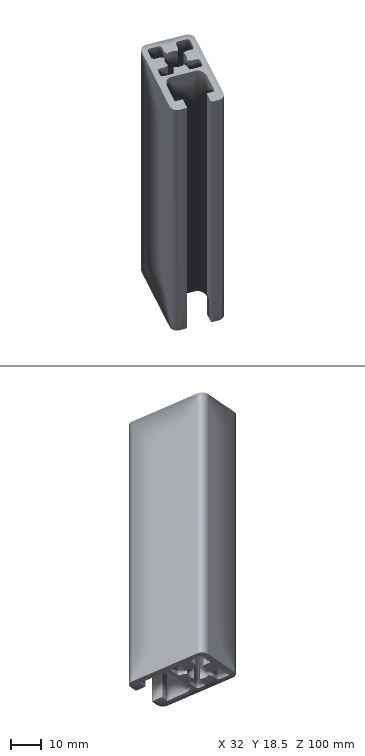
import cadquery as cq
import math

width = 32.0
depth = 18.5
length = 100.0
corner_radius = 2.5

bore_x = 9.5 - width / 2
bore_radius = 3.7
cavity_left = 7.4
cavity_right = 6.1
cavity_side = 7.3
cavity_fillet = 1.0

rib_half_width = 2.4
rib_tip_half_width = 1.8
rib_taper_start = 4.4
rib_tip = math.sqrt(bore_radius**2 - rib_tip_half_width**2)

slot_back_x = 16.8 - width / 2
lip_thickness = 4.2
slot_width = 13.8
mouth_width = 8.2
slot_corner_x = 3.6
slot_corner_y = 2.0
lip_fillet = 0.4


def make_body():
    return cq.Workplane("XY").box(width, depth, length).edges("|Z").fillet(corner_radius)


def make_rib(angle):
    """A rib pointing at the bore, tapered on both sides near its tip."""
    outer = cavity_left + cavity_fillet
    rib = (
        cq.Workplane("XY")
        .polyline([
            (outer, -rib_half_width),
            (rib_taper_start, -rib_half_width),
            (rib_tip, -rib_tip_half_width),
            (rib_tip, rib_tip_half_width),
            (rib_taper_start, rib_half_width),
            (outer, rib_half_width),
        ])
        .close()
        .extrude(length / 2, both=True)
    )
    return rib.rotate((0, 0, 0), (0, 0, 1), angle)


def is_wall_corner(edge):
    """True for upright edges on the cavity walls, not at the rib tips."""
    center = edge.Center()
    return max(abs(center.x), abs(center.y)) > rib_taper_start + cavity_fillet


def make_cavity():
    cavity = (
        cq.Workplane("XY")
        .center((cavity_right - cavity_left) / 2, 0)
        .rect(cavity_left + cavity_right, 2 * cavity_side)
        .extrude(length / 2, both=True)
    )
    for angle in (0, 90, 180, 270):
        cavity = cavity.cut(make_rib(angle))
    cavity = cavity.edges("|Z").filter(is_wall_corner).fillet(cavity_fillet)
    bore = cq.Workplane("XY").circle(bore_radius).extrude(length / 2, both=True)
    return cavity.union(bore).translate((bore_x, 0, 0))


def make_slot():
    """A pocket with a narrower mouth; inner corner arcs run tangent into the side walls."""
    slot_length = width / 2 - lip_thickness - slot_back_x
    slot_half_width = slot_width / 2
    back_half_width = slot_half_width - slot_corner_y
    pocket = (
        cq.Workplane("XY")
        .moveTo(slot_length, slot_half_width)
        .lineTo(slot_corner_x, slot_half_width)
        .tangentArcPoint((0, back_half_width), relative=False)
        .lineTo(0, 0)
        .lineTo(slot_length, 0)
        .close()
        .extrude(length / 2, both=True)
    )
    pocket = pocket.union(pocket.mirror("XZ"))
    mouth = cq.Workplane("XY").box(
        slot_length + lip_thickness, mouth_width, length, centered=(False, True, True)
    )
    return pocket.union(mouth).translate((slot_back_x, 0, 0))


def is_lip_edge(edge):
    """True for the upright edges where the lips face each other across the mouth."""
    return math.isclose(abs(edge.Center().y), mouth_width / 2)


result = make_body().cut(make_cavity()).cut(make_slot())
result = result.edges("|Z").filter(is_lip_edge).fillet(lip_fillet)